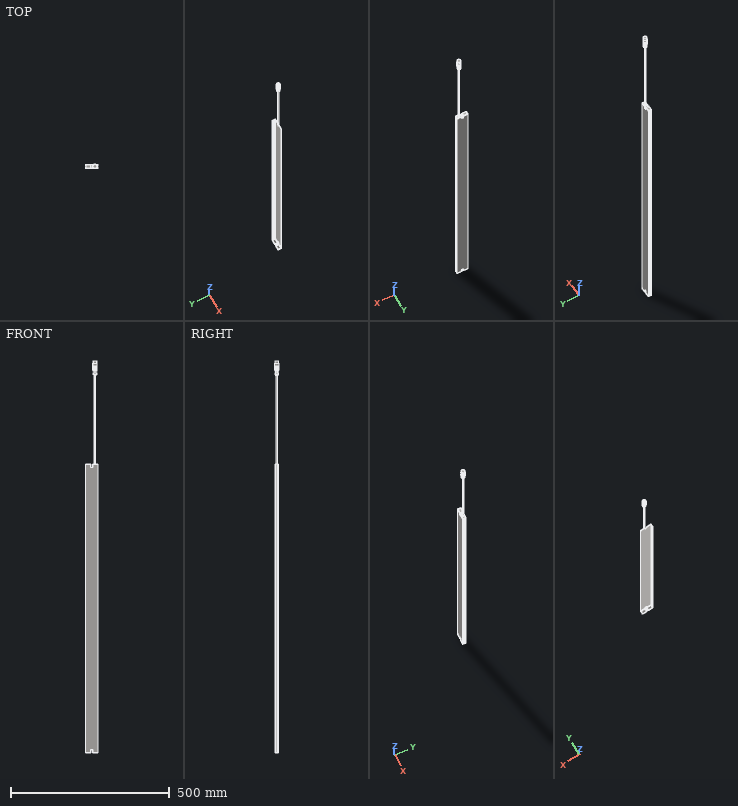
import cadquery as cq

overall_height = 1236.75
housing_width = 40.0
housing_depth = 12.0
housing_height = 911.0
end_chamfer = 1.5
side_groove_width = 4.0
side_groove_depth = 1.5
notch_width = 5.0
notch_height = 10.0

cable_x = 10.0
cable_diameter = 5.0

tip_diameter = 12.0
tip_height = 8.5
nut_diameter = 14.5
nut_height = 20.0
nut_collar_height = 8.0
grip_groove_count = 16
grip_groove_width = 1.2
grip_groove_depth = 0.6
shoulder_diameter = 12.0
shoulder_height = 3.0
neck_diameter = 7.0
neck_height = 7.0
clamp_diameter = 12.0
clamp_height = 4.5
sleeve_diameter = 7.0
sleeve_height = 3.5

tip_base = overall_height - tip_height
nut_base = tip_base - nut_height
shoulder_base = nut_base - shoulder_height
neck_base = shoulder_base - neck_height
clamp_base = neck_base - clamp_height
plug_base = clamp_base - sleeve_height


def cylinder_on_axis(diameter, base, height):
    return cq.Workplane("XY", origin=(cable_x, 0, base)).circle(diameter / 2).extrude(height)


def make_housing():
    body = cq.Workplane("XY").rect(housing_width, housing_depth).extrude(housing_height)
    for end_z in (0, housing_height):
        notch = cq.Workplane("XY", origin=(0, 0, end_z)).box(notch_width, housing_depth, 2 * notch_height)
        body = body.cut(notch)
    body = body.faces("<Z or >Z").chamfer(end_chamfer)
    side_grooves = (
        cq.Workplane("XY")
        .pushPoints([(-housing_width / 2, 0), (housing_width / 2, 0)])
        .rect(2 * side_groove_depth, side_groove_width)
        .extrude(housing_height)
    )
    return body.cut(side_grooves)


def make_cable():
    return cylinder_on_axis(cable_diameter, housing_height, plug_base - housing_height)


def make_plug():
    plug = cylinder_on_axis(sleeve_diameter, plug_base, sleeve_height)
    plug = plug.union(cylinder_on_axis(clamp_diameter, clamp_base, clamp_height))
    plug = plug.union(cylinder_on_axis(neck_diameter, neck_base, neck_height))
    plug = plug.union(cylinder_on_axis(shoulder_diameter, shoulder_base, shoulder_height))
    plug = plug.union(cylinder_on_axis(nut_diameter, nut_base, nut_height))
    plug = plug.union(cylinder_on_axis(tip_diameter, tip_base, tip_height))
    first_groove_angle = 180 / grip_groove_count
    grip_grooves = (
        cq.Workplane("XY", origin=(cable_x, 0, nut_base))
        .polarArray(nut_diameter / 2, first_groove_angle, 360, grip_groove_count)
        .rect(2 * grip_groove_depth, grip_groove_width)
        .extrude(nut_height - nut_collar_height)
    )
    return plug.cut(grip_grooves)


housing = make_housing()
cable = make_cable()
plug = make_plug()
result = cq.Compound.makeCompound([housing.val(), cable.val(), plug.val()])